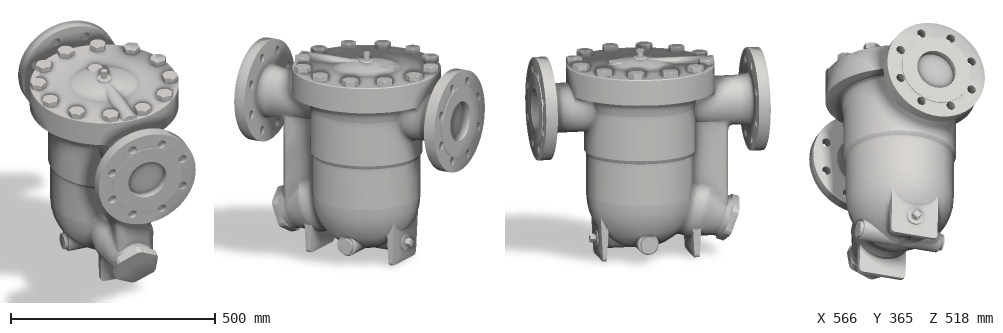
import cadquery as cq
import math


PIPE_R = 61
BORE_R = 50
BORE_DEPTH = 20
FACE_LEFT_X = -263.5
FACE_RIGHT_X = 302.5
FLANGE_R = 127
FLANGE_T = 29
RAISED_R = 89
RAISED_H = 2
FLANGE_HOLE_R = 11
FLANGE_HOLE_CIRCLE_R = 100
FLANGE_HOLES = 8
HUB_R = 64.5
HUB_TAPER_L = 20
HUB_FILLET = 5
PIPE_FILLET = 8

COVER_R = 182.5
COVER_TOP_Z = 101.3
COVER_JOINT_Z = 70
COVER_CHAMFER = 2
BODY_FLANGE_Z = 37
NECK_TOP_R = 144
NECK_TOP_Z = 33
NECK_BOTTOM_Z = -2
UPPER_R = 138
UPPER_BOTTOM_Z = -112.5
LOWER_R = 132.6
LOWER_TOP_Z = -121.5
DOME_Z = -225
FLANGE_WEB_R = 10

CROWN_BASE_R = 84
CROWN_H = 12.7
COVER_RIB_R = 21
COVER_RIB_TOP_Z = 114
BOLT_COUNT = 12
BOLT_CIRCLE_R = 162.5
BOLT_AF = 36
BOLT_TOP_Z = 116.2
VENT_X = -61
VENT_R = 18
VENT_CHAMFER = 0.8
VENT_FILLET = 3
VENT_TOP_Z = 111
COLLAR_R = 18
COLLAR_TOP_Z = 118.5
COLLAR_CHAMFER = 2
STEM_R = 7
STEM_TOP_Z = 138.3
STEM_HEAD_H = 9
STEM_HEAD_DIAGONAL = 18

RIB_OUTER_X = 214
RIB_HALF_W = 44
RIB_CORNER_R = 15
RIB_FLARE_R = 20
RIB_SINK = 0.4
RIB_BOTTOM_Z = -257
RIB_PIPE_FILLET = 15
RIB_FADE_X = 182

LEG_TILT = 20
LEG_END_X = 227.3
LEG_END_Z = -297.5
LEG_R = 75
LEG_NECK_R = 52.5
PLUG_AF = 105.05
PLUG_TRIM_R = 58
PLUG_T = 18
NECK_L = 14
CONE_L = 59
LEG_CYLINDER_L = 110
NECK_START = -PLUG_T - NECK_L
CONE_START = NECK_START - CONE_L
LEG_START = CONE_START - LEG_CYLINDER_L
LEG_RIB_FILLET = 15
LEG_BODY_FILLET = 20

FOOT_BOTTOM_Z = -379.7
FOOT_TOP_Z = -262
FOOT_W = 120
FOOT_CORNER_R = 10
FOOT_DRAFT = 3
FOOT_FILLET = 5
LEFT_FOOT_X = -100.5
LEFT_FOOT_T = 9.5
RIGHT_FOOT_X = 130
RIGHT_FOOT_T = 12.5
BOSS_Z = -331.5
BOSS_R = 26
BOSS_END_Y = 101
BOSS_FILLET = 3.5
SIDE_PLUG_R = 20
SIDE_PLUG_END_Y = 109.5
DRAIN_PAD_R = 20
DRAIN_PAD_X = -111
DRAIN_NECK_R = 9
DRAIN_HEAD_X = -115
DRAIN_END_X = -126
DRAIN_HEAD_DIAGONAL = 22


def cylinder_x(radius, x_start, x_end, z=0):
    return cq.Workplane("YZ", origin=(x_start, 0, z)).circle(radius).extrude(x_end - x_start)


def cylinder_z(radius, z_start, z_end, x=0):
    return cq.Workplane("XY", origin=(x, 0, z_start)).circle(radius).extrude(z_end - z_start)


def make_cover_and_neck():
    outline = [
        (0, COVER_TOP_Z),
        (COVER_R - COVER_CHAMFER, COVER_TOP_Z),
        (COVER_R, COVER_TOP_Z - COVER_CHAMFER),
        (COVER_R, BODY_FLANGE_Z),
        (NECK_TOP_R + BODY_FLANGE_Z - NECK_TOP_Z, BODY_FLANGE_Z),
        (NECK_TOP_R, NECK_TOP_Z),
        (UPPER_R, NECK_BOTTOM_Z),
        (0, NECK_BOTTOM_Z),
    ]
    return cq.Workplane("XZ").polyline(outline).close().revolve(360, (0, 0, 0), (0, 1, 0))


def make_upper_wall_with_inlet():
    wall = cylinder_z(UPPER_R, UPPER_BOTTOM_Z, BODY_FLANGE_Z)
    joint = cq.selectors.BoxSelector(
        (-UPPER_R - 10, -PIPE_R - 1, -PIPE_R - 1), (-PIPE_R, PIPE_R + 1, BODY_FLANGE_Z - 1)
    )
    inlet = make_pipe_end(FACE_LEFT_X, 1)
    return wall.union(inlet).edges(joint).fillet(PIPE_FILLET)


def make_lower_vessel():
    diagonal = LOWER_R * math.sqrt(0.5)
    profile = (
        cq.Workplane("XZ")
        .moveTo(0, UPPER_BOTTOM_Z)
        .lineTo(UPPER_R, UPPER_BOTTOM_Z)
        .lineTo(LOWER_R, LOWER_TOP_Z)
        .lineTo(LOWER_R, DOME_Z)
        .threePointArc((diagonal, DOME_Z - diagonal), (0, DOME_Z - LOWER_R))
        .close()
    )
    return profile.revolve(360, (0, 0, 0), (0, 1, 0))


def make_pipe_end(face_x, inward):
    """Half pipe with its flange; inward is the X sign from the face to the vessel."""
    back = RAISED_H + FLANGE_T
    hub_end = back + HUB_FILLET
    pipe_start = hub_end + HUB_TAPER_L
    length = abs(face_x)
    profile = (
        cq.Workplane("XY")
        .lineTo(0, RAISED_R)
        .lineTo(RAISED_H, RAISED_R)
        .lineTo(RAISED_H, FLANGE_R)
        .lineTo(back, FLANGE_R)
        .lineTo(back, HUB_R + HUB_FILLET)
        .radiusArc((hub_end, HUB_R), -HUB_FILLET)
        .lineTo(pipe_start, PIPE_R)
        .lineTo(length, PIPE_R)
        .lineTo(length, 0)
        .close()
    )
    end = profile.revolve(360, (0, 0, 0), (1, 0, 0))
    holes = (
        cq.Workplane("YZ")
        .polarArray(FLANGE_HOLE_CIRCLE_R, 180 / FLANGE_HOLES, 360, FLANGE_HOLES)
        .circle(FLANGE_HOLE_R)
        .extrude(back)
    )
    end = end.cut(holes).cut(cylinder_x(BORE_R, 0, BORE_DEPTH))
    if inward < 0:
        end = end.mirror("YZ")
    return end.translate((face_x, 0, 0))


def make_flange_web():
    """Concave webs between the pipe and the underside of the body flange."""
    centre_z = BODY_FLANGE_Z - FLANGE_WEB_R
    centre_y = math.sqrt((PIPE_R + FLANGE_WEB_R) ** 2 - centre_z**2)
    share = PIPE_R / (PIPE_R + FLANGE_WEB_R)
    touch = (centre_y * share, centre_z * share)
    web = (
        cq.Workplane("YZ", origin=(-COVER_R, 0, 0))
        .moveTo(-touch[0], touch[1])
        .radiusArc((-centre_y, BODY_FLANGE_Z), -FLANGE_WEB_R)
        .lineTo(centre_y, BODY_FLANGE_Z)
        .radiusArc(touch, -FLANGE_WEB_R)
        .close()
        .extrude(2 * COVER_R)
    )
    return web.intersect(cylinder_z(COVER_R, touch[1], BODY_FLANGE_Z))


def make_side_rib():
    """Upright rib with rounded outer corners and flares that run into the vessel wall."""
    centre_y = RIB_HALF_W + RIB_FLARE_R
    wall_r = LOWER_R - RIB_SINK
    centre_x = math.sqrt((wall_r + RIB_FLARE_R) ** 2 - centre_y**2)
    share = wall_r / (wall_r + RIB_FLARE_R)
    touch = (centre_x * share, centre_y * share)
    corner_x = RIB_OUTER_X - RIB_CORNER_R
    corner_y = RIB_HALF_W - RIB_CORNER_R
    return (
        cq.Workplane("XY", origin=(0, 0, RIB_BOTTOM_Z))
        .moveTo(0, 0)
        .lineTo(touch[0], -touch[1])
        .radiusArc((centre_x, -RIB_HALF_W), RIB_FLARE_R)
        .lineTo(corner_x, -RIB_HALF_W)
        .radiusArc((RIB_OUTER_X, -corner_y), -RIB_CORNER_R)
        .lineTo(RIB_OUTER_X, corner_y)
        .radiusArc((corner_x, RIB_HALF_W), -RIB_CORNER_R)
        .lineTo(centre_x, RIB_HALF_W)
        .radiusArc(touch, RIB_FLARE_R)
        .close()
        .extrude(-RIB_BOTTOM_Z - PIPE_R / 2)
    )


def tilt_leg(shape):
    """Turns a shape built along +X from the origin into the leg axis, measured from its end."""
    return shape.rotate((0, 0, 0), (0, 1, 0), LEG_TILT).translate((LEG_END_X, 0, LEG_END_Z))


def revolve_about_x(half_outline):
    return cq.Workplane("XY").polyline(half_outline).close().revolve(360, (0, 0, 0), (1, 0, 0))


def make_leg():
    outline = [
        (LEG_START, 0),
        (LEG_START, LEG_R),
        (CONE_START, LEG_R),
        (NECK_START, LEG_NECK_R),
        (-PLUG_T, LEG_NECK_R),
        (-PLUG_T, 0),
    ]
    return tilt_leg(revolve_about_x(outline))


def make_rib_leg_blend():
    """Rounds the corner between the flat rib sides and the leg, up to the rib's outer corners."""
    cone_end_r = LEG_NECK_R - (LEG_R - LEG_NECK_R) * NECK_L / CONE_L
    outline = [
        (LEG_START, 0),
        (LEG_START, LEG_R),
        (CONE_START, LEG_R),
        (-PLUG_T, cone_end_r),
        (-PLUG_T, 0),
    ]
    slab_h = LEG_R - RIB_BOTTOM_Z
    slab = (
        cq.Workplane("XY", origin=(0, 0, RIB_BOTTOM_Z))
        .rect(4 * RIB_OUTER_X, 2 * RIB_HALF_W)
        .extrude(slab_h)
    )
    corner_x = RIB_OUTER_X - RIB_CORNER_R
    joint = cq.selectors.BoxSelector(
        (UPPER_R / 2, -RIB_HALF_W - 1, RIB_BOTTOM_Z - 1), (RIB_OUTER_X, RIB_HALF_W + 1, -LEG_R)
    )
    blend = tilt_leg(revolve_about_x(outline)).union(slab).edges(joint).fillet(LEG_RIB_FILLET)
    keep = (
        cq.Workplane("XY", origin=(0, 0, RIB_BOTTOM_Z))
        .moveTo((UPPER_R + corner_x) / 2, 0)
        .rect(corner_x - UPPER_R, 2 * (RIB_HALF_W + LEG_RIB_FILLET))
        .extrude(slab_h / 2)
    )
    return blend.intersect(keep)


def make_rib_pipe_blend():
    """Rounds the rib's outer end into the pipe; fades out along the flat sides."""
    corner_x = RIB_OUTER_X - RIB_CORNER_R
    far_x = RIB_OUTER_X + RIB_PIPE_FILLET
    slab = (
        cq.Workplane("XY", origin=(0, 0, -2 * PIPE_R))
        .moveTo(RIB_OUTER_X / 2, 0)
        .rect(RIB_OUTER_X, 2 * RIB_HALF_W)
        .extrude(2 * PIPE_R)
        .edges("|Z and >X")
        .fillet(RIB_CORNER_R)
    )
    joint = cq.selectors.BoxSelector(
        (1, -RIB_HALF_W - 1, -PIPE_R - 1), (RIB_OUTER_X + 1, RIB_HALF_W + 1, -PIPE_R / 2)
    )
    pipe = cylinder_x(PIPE_R, -PIPE_R, far_x + PIPE_R)
    blend = slab.union(pipe).edges(joint).fillet(RIB_PIPE_FILLET)
    keep = (
        cq.Workplane("XY", origin=(0, 0, -2 * PIPE_R))
        .moveTo(RIB_FADE_X, -RIB_HALF_W)
        .lineTo(corner_x + RIB_CORNER_R / 2, -PIPE_R)
        .lineTo(far_x, -PIPE_R)
        .lineTo(far_x, PIPE_R)
        .lineTo(corner_x + RIB_CORNER_R / 2, PIPE_R)
        .lineTo(RIB_FADE_X, RIB_HALF_W)
        .close()
        .extrude(1.5 * PIPE_R)
    )
    return blend.intersect(keep)


def make_lower_vessel_with_leg():
    vessel = make_lower_vessel().union(make_leg())
    joint = cq.selectors.BoxSelector(
        (LOWER_R / 3, -LEG_R - 1, DOME_Z - LOWER_R), (UPPER_R + 5, LEG_R + 1, LOWER_TOP_Z - 1)
    )
    return vessel.edges(joint).fillet(LEG_BODY_FILLET)


def make_leg_plug():
    """Hexagon plug with its corners trimmed to a round."""
    corner_diameter = PLUG_AF / math.cos(math.pi / 6)
    plug = (
        cq.Workplane("YZ", origin=(-PLUG_T, 0, 0))
        .polygon(6, corner_diameter)
        .extrude(PLUG_T)
        .rotate((0, 0, 0), (1, 0, 0), 30)
    )
    return tilt_leg(plug.intersect(cylinder_x(PLUG_TRIM_R, -PLUG_T, 0)))


def make_foot(x, thickness):
    """Upright foot plate, thicker towards the top, with rounded bottom corners."""
    height = FOOT_TOP_Z - FOOT_BOTTOM_Z
    bottom = thickness / 2
    top = bottom + height * math.tan(math.radians(FOOT_DRAFT))
    slab = (
        cq.Workplane("XZ", origin=(x, FOOT_W / 2, FOOT_BOTTOM_Z))
        .moveTo(-bottom, 0)
        .lineTo(bottom, 0)
        .lineTo(top, height)
        .lineTo(-top, height)
        .close()
        .extrude(FOOT_W)
    )
    outline = (
        cq.Workplane("YZ", origin=(x - 2 * top, 0, (FOOT_TOP_Z + FOOT_BOTTOM_Z) / 2))
        .rect(FOOT_W, height)
        .extrude(4 * top)
        .edges("|X and <Z")
        .fillet(FOOT_CORNER_R)
    )
    return slab.intersect(outline)


def make_lower_vessel_with_feet():
    vessel = make_lower_vessel_with_leg().union(make_side_bosses().union(make_drain()))
    left_foot = make_foot(LEFT_FOOT_X, LEFT_FOOT_T)
    right_foot = make_foot(RIGHT_FOOT_X, RIGHT_FOOT_T)
    outer_joint = cq.selectors.BoxSelector(
        (-LOWER_R, -FOOT_W / 3, BOSS_Z + DRAIN_PAD_R), (LEFT_FOOT_X, FOOT_W / 3, DOME_Z - FOOT_FILLET)
    )
    return vessel.union(left_foot).edges(outer_joint).fillet(FOOT_FILLET).union(right_foot)


def make_side_bosses():
    boss = (
        cq.Workplane("XZ", origin=(0, BOSS_END_Y, BOSS_Z))
        .circle(BOSS_R)
        .extrude(2 * BOSS_END_Y)
        .edges()
        .fillet(BOSS_FILLET)
    )
    plugs = (
        cq.Workplane("XZ", origin=(0, SIDE_PLUG_END_Y, BOSS_Z))
        .circle(SIDE_PLUG_R)
        .extrude(2 * SIDE_PLUG_END_Y)
    )
    return boss.union(plugs)


def make_drain():
    boss = cylinder_x(BOSS_R, LEFT_FOOT_X, 0, BOSS_Z)
    pad = cylinder_x(DRAIN_PAD_R, DRAIN_PAD_X, 0, BOSS_Z)
    neck = cylinder_x(DRAIN_NECK_R, DRAIN_HEAD_X, 0, BOSS_Z)
    head = (
        cq.Workplane("YZ", origin=(DRAIN_END_X, 0, BOSS_Z))
        .polygon(4, DRAIN_HEAD_DIAGONAL)
        .extrude(DRAIN_HEAD_X - DRAIN_END_X)
    )
    return boss.union(pad).union(neck).union(head)


def make_crown():
    sphere_r = (CROWN_BASE_R**2 + CROWN_H**2) / (2 * CROWN_H)
    sphere = cq.Workplane("XY", origin=(0, 0, COVER_TOP_Z + CROWN_H - sphere_r)).sphere(sphere_r)
    return sphere.intersect(cylinder_z(CROWN_BASE_R + 1, COVER_JOINT_Z, COVER_TOP_Z + CROWN_H))


def make_cover_rib():
    bar = cylinder_x(COVER_RIB_R, 0, 2 * COVER_R, COVER_RIB_TOP_Z - COVER_RIB_R)
    return bar.intersect(cylinder_z(COVER_R, COVER_TOP_Z, BOLT_TOP_Z))


def make_crown_with_vent():
    cap = cylinder_z(VENT_R, COVER_TOP_Z, VENT_TOP_Z, VENT_X).faces(">Z").chamfer(VENT_CHAMFER)
    root = cq.selectors.BoxSelector(
        (VENT_X - VENT_R, -VENT_R, COVER_TOP_Z + 1), (VENT_X + VENT_R, VENT_R, VENT_TOP_Z - 2)
    )
    return make_crown().union(cap).edges(root).fillet(VENT_FILLET)


def make_stem():
    collar = cylinder_z(COLLAR_R, COVER_TOP_Z, COLLAR_TOP_Z).faces(">Z").chamfer(COLLAR_CHAMFER)
    shaft = cylinder_z(STEM_R, COVER_TOP_Z, STEM_TOP_Z)
    head = (
        cq.Workplane("XY", origin=(0, 0, STEM_TOP_Z - STEM_HEAD_H))
        .polygon(4, STEM_HEAD_DIAGONAL)
        .extrude(STEM_HEAD_H)
    )
    return collar.union(shaft).union(head)


def make_bolts():
    """Hexagon heads with chamfered corners; each is turned with its place on the bolt circle."""
    corner_r = BOLT_AF / 2 / math.cos(math.pi / 6)
    chamfer_h = (corner_r - BOLT_AF / 2) * math.tan(math.pi / 6)
    pitch = 360 / BOLT_COUNT
    first = math.radians(pitch / 2)
    trim = (
        cq.Workplane("XY", origin=(0, 0, COVER_TOP_Z))
        .circle(corner_r)
        .extrude(BOLT_TOP_Z - COVER_TOP_Z)
        .faces(">Z")
        .chamfer(chamfer_h, corner_r - BOLT_AF / 2)
    )
    head = (
        cq.Workplane("XY", origin=(0, 0, COVER_TOP_Z))
        .polygon(6, 2 * corner_r)
        .extrude(BOLT_TOP_Z - COVER_TOP_Z)
        .intersect(trim)
        .translate((BOLT_CIRCLE_R * math.cos(first), BOLT_CIRCLE_R * math.sin(first), 0))
    )
    return [head.rotate((0, 0, 0), (0, 0, 1), pitch * index) for index in range(BOLT_COUNT)]


result = make_lower_vessel_with_feet()
pieces = [
    make_upper_wall_with_inlet(),
    make_cover_and_neck(),
    make_pipe_end(FACE_RIGHT_X, -1),
    make_flange_web(),
    make_side_rib(),
    make_rib_leg_blend(),
    make_rib_pipe_blend(),
    make_leg_plug(),
    make_crown_with_vent(),
    make_cover_rib(),
    make_stem(),
    *make_bolts(),
]
for piece in pieces:
    result = result.union(piece)